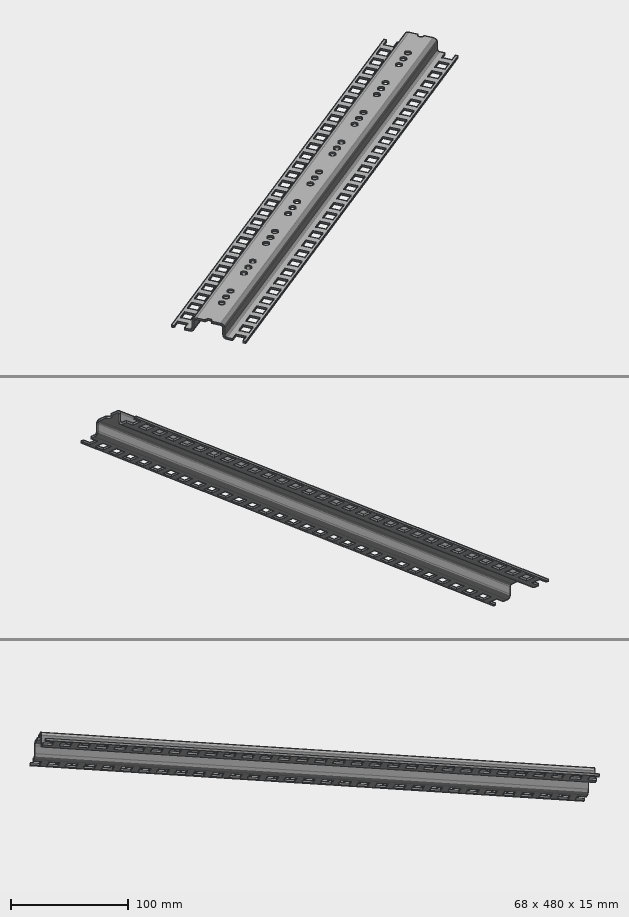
import cadquery as cq

length = 480.0
width = 68.0
height = 15.0
thickness = 2.0

hat_width = 30.0
inner_bend_radius = 2.0
outer_bend_radius = inner_bend_radius + thickness

hole_radius = 3.0
hole_pitch = length / 48
holes_each_side_of_group_centre = 1
group_pitch = 5 * hole_pitch
groups_each_side = 5

half_window = 4.7
flange_edge_strip = 2.6
last_window_inset = 3.0
windows_each_side = 15
window_pitch = (length / 2 - last_window_inset) / windows_each_side


def spread(count_each_side, pitch):
    """Evenly spaced positions, centred on zero."""
    return [i * pitch for i in range(-count_each_side, count_each_side + 1)]


def make_rail():
    """Bent sheet: a channel open downwards with a flat flange on each side."""
    outside_x = hat_width / 2
    inside_x = outside_x - thickness
    roof_end_x = outside_x - outer_bend_radius
    flange_start_x = outside_x + inner_bend_radius
    wall_bottom_z = outer_bend_radius
    wall_top_z = height - outer_bend_radius
    half_section = (
        cq.Workplane("XZ")
        .moveTo(0, height)
        .lineTo(roof_end_x, height)
        .radiusArc((outside_x, wall_top_z), outer_bend_radius)
        .lineTo(outside_x, wall_bottom_z)
        .radiusArc((flange_start_x, thickness), -inner_bend_radius)
        .lineTo(width / 2, thickness)
        .lineTo(width / 2, 0)
        .lineTo(flange_start_x, 0)
        .radiusArc((inside_x, wall_bottom_z), outer_bend_radius)
        .lineTo(inside_x, wall_top_z)
        .radiusArc((roof_end_x, height - thickness), -inner_bend_radius)
        .lineTo(0, height - thickness)
        .close()
    )
    half_rail = half_section.extrude(length / 2, both=True)
    return half_rail.union(half_rail.mirror("YZ"), clean=True)


def make_roof_holes():
    """Vertical pins that cut the round holes and the end notches in the roof."""
    centres = [
        (0, group_y + hole_y)
        for group_y in spread(groups_each_side, group_pitch)
        for hole_y in spread(holes_each_side_of_group_centre, hole_pitch)
    ]
    return cq.Workplane("XY").pushPoints(centres).circle(hole_radius).extrude(height)


def make_flange_windows():
    """Square bars that cut the windows in both flanges."""
    window_x = width / 2 - flange_edge_strip - half_window
    centres = [
        (x, y)
        for x in (-window_x, window_x)
        for y in spread(windows_each_side, window_pitch)
    ]
    window_size = 2 * half_window
    return cq.Workplane("XY").pushPoints(centres).rect(window_size, window_size).extrude(height)


result = make_rail().cut(make_roof_holes()).cut(make_flange_windows())